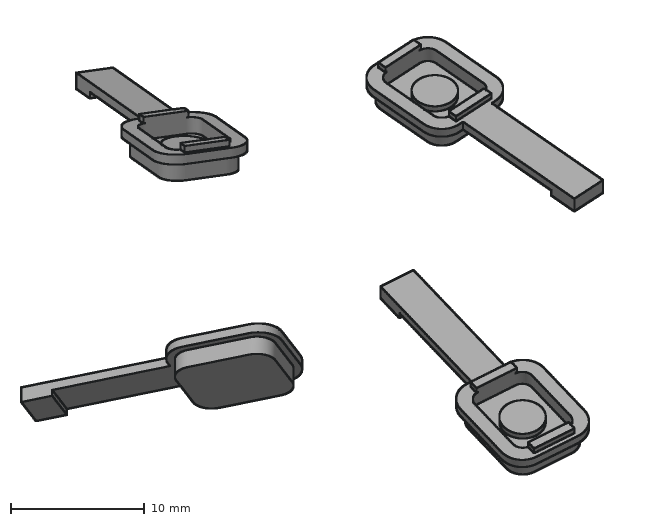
import cadquery as cq

total_length = 21.2
head_length = 9.2
head_width = 7.6
head_radius = 1.9
plate_thickness = 0.78

arm_width = 3.0
pad_length = 2.5
pad_thickness = 1.3

cup_length = 8.01
cup_width = 6.42
cup_radius = 1.5
cup_depth = 1.5

pocket_length = 6.83
pocket_width = 5.22
pocket_radius = 0.9
floor_thickness = 1.0
boss_diameter = 3.5
boss_height = 0.5

rail_span = 8.4
rail_width = 3.69
rail_height = 0.5

arm_start = head_length / 2 - total_length
floor_z = floor_thickness - cup_depth


def rounded_block(length, width, radius, bottom, top):
    """Block centred on the Z axis with rounded vertical corners."""
    block = cq.Workplane("XY").workplane(offset=bottom).rect(length, width).extrude(top - bottom)
    return block.edges("|Z").fillet(radius)


def box_between(x_start, x_end, width, bottom, top):
    """Box spanning two X positions, centred across Y."""
    return (
        cq.Workplane("XY")
        .box(x_end - x_start, width, top - bottom, centered=(False, True, False))
        .translate((x_start, 0, bottom))
    )


head = rounded_block(head_length, head_width, head_radius, 0, plate_thickness)
cup = rounded_block(cup_length, cup_width, cup_radius, -cup_depth, 0)
pocket = rounded_block(pocket_length, pocket_width, pocket_radius, floor_z, plate_thickness)

arm = box_between(arm_start, -pocket_length / 2, arm_width, 0, plate_thickness)
pad = box_between(
    arm_start, arm_start + pad_length, arm_width, plate_thickness - pad_thickness, plate_thickness
)
boss = cq.Workplane("XY").workplane(offset=floor_z).circle(boss_diameter / 2).extrude(boss_height)

result = head.union(cup).cut(pocket).union(arm).union(pad).union(boss)

rail_top = plate_thickness + rail_height
left_rail = box_between(-rail_span / 2, -pocket_length / 2, rail_width, plate_thickness, rail_top)
for rail in (left_rail, left_rail.mirror("YZ")):
    result = result.union(rail)